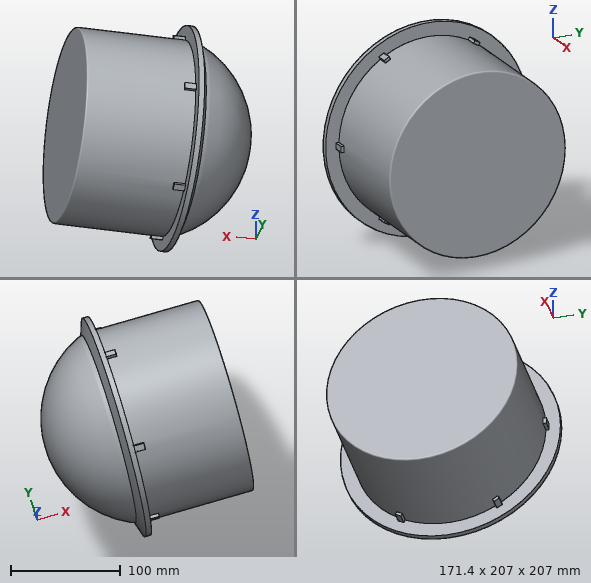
import cadquery as cq
import math

overall_length = 171.36
flange_diameter = 207.0
body_diameter = 180.0

body_length = 101.2
body_end_fillet = 1.5

rim_thickness = 5.2
cone_depth = 5.0
cone_front_diameter = 177.4

dome_radius = 96.0
collar_length = 3.8

rib_count = 6
rib_length = 10.5
rib_width = 6.0
rib_outer_radius = 93.0

flange_radius = flange_diameter / 2
body_radius = body_diameter / 2
apex_x = body_length - overall_length
rim_front_x = -rim_thickness
cone_front_x = rim_front_x - cone_depth
dome_base_x = cone_front_x - collar_length
dome_center_x = apex_x + dome_radius
dome_base_radius = math.sqrt(dome_radius**2 - (dome_center_x - dome_base_x) ** 2)


def dome_point(angle):
    """Point of the dome arc, at an angle in radians measured from the apex."""
    return (
        dome_center_x - dome_radius * math.cos(angle),
        dome_radius * math.sin(angle),
    )


def make_revolved_body():
    """Dome, collar, flange and cylindrical body as one profile turned about X."""
    dome_half_angle = math.asin(dome_base_radius / dome_radius)
    profile = (
        cq.Workplane("XY")
        .moveTo(apex_x, 0)
        .threePointArc(dome_point(dome_half_angle / 2), (dome_base_x, dome_base_radius))
        .lineTo(cone_front_x, cone_front_diameter / 2)
        .lineTo(rim_front_x, flange_radius)
        .lineTo(0, flange_radius)
        .lineTo(0, body_radius)
        .lineTo(body_length, body_radius)
        .lineTo(body_length, 0)
        .close()
    )
    turned = profile.revolve(360, (0, 0, 0), (1, 0, 0))
    return turned.faces(">X").edges().fillet(body_end_fillet)


def make_rib(angle):
    """Rib reaching outward from the axis, turned about X by an angle in degrees from +Y."""
    rib = cq.Workplane("XY").box(
        rib_length, rib_outer_radius, rib_width, centered=(False, False, True)
    )
    return rib.rotate((0, 0, 0), (1, 0, 0), angle)


result = make_revolved_body()
for index in range(rib_count):
    result = result.union(make_rib(index * 360 / rib_count))